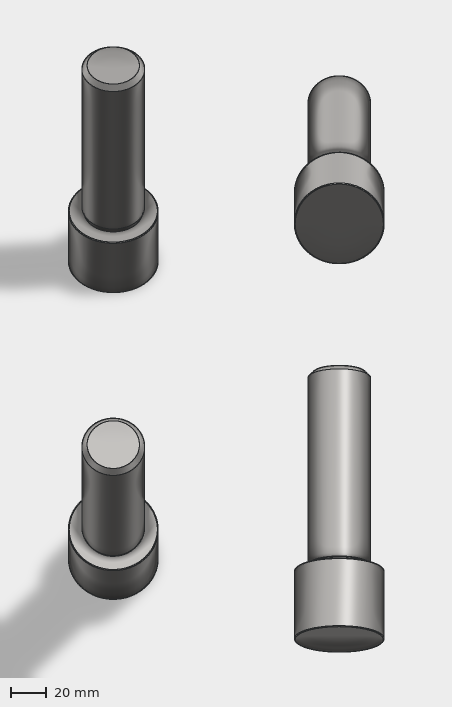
import cadquery as cq

total_length = 155.0
head_diameter = 50.0
head_height = 40.0
head_chamfer = 0.5

shank_diameter = 35.0
tip_chamfer = 3.0

neck_diameter = 33.0
neck_length = 3.3

shank_start = head_height + neck_length
shank_length = total_length - shank_start


def cylinder(diameter, base_height, length):
    """Vertical cylinder on the Z axis, standing at base_height."""
    return cq.Workplane("XY").workplane(offset=base_height).circle(diameter / 2).extrude(length)


head = cylinder(head_diameter, 0, head_height).edges().chamfer(head_chamfer)

neck = cylinder(neck_diameter, head_height, neck_length)

shank = cylinder(shank_diameter, shank_start, shank_length).faces(">Z").edges().chamfer(tip_chamfer)

result = head.union(neck).union(shank)